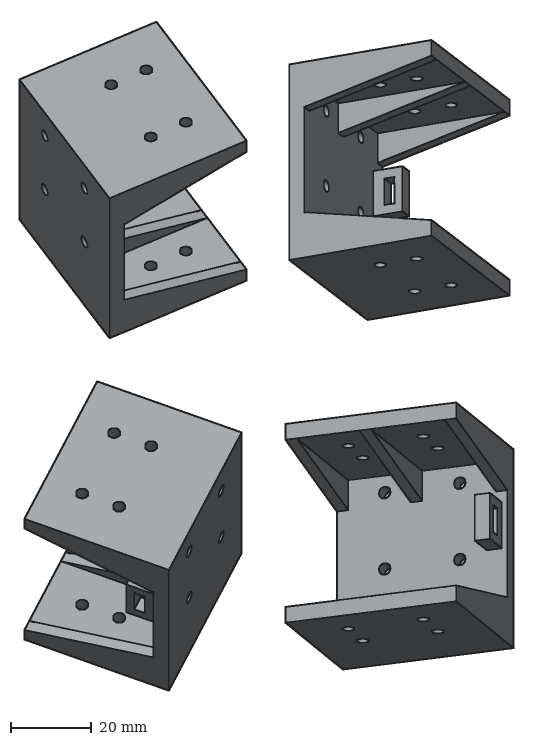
import cadquery as cq

width = 45.4
depth = 39.0
height = 52.0

wall = 4.15
rib_thickness = 3.0
rib_root_height = 12.0

hole_diameter = 3.0
hole_spacing = 10.0
wall_hole_low_z = 23.45
plate_hole_front_y = 18.95

loop_start_x = 1.5
loop_length = 4.0
loop_depth = 8.0
loop_height = 12.0
loop_bottom_z = 24.95
slot_depth = 2.8
slot_height = 7.0
slot_offset_y = 3.0

hole_xs = (width / 2 - hole_spacing, width / 2 + hole_spacing)


def box_at(x, y, z, size_x, size_y, size_z):
    """Box with its lowest corner at (x, y, z)."""
    return cq.Workplane("XY").box(size_x, size_y, size_z, centered=False).translate((x, y, z))


def channel():
    """Back wall with a plate along its top and bottom edges."""
    outer = box_at(0, 0, 0, width, depth, height)
    opening = box_at(0, wall, wall, width, depth - wall, height - 2 * wall)
    return outer.cut(opening)


def rib_pair(x):
    """Pair of tapered webs, tallest at the wall, under the top plate and on the bottom plate."""
    profile = [
        (0, 0),
        (depth, 0),
        (depth, wall),
        (wall, rib_root_height),
        (wall, height - rib_root_height),
        (depth, height - wall),
        (depth, height),
        (0, height),
    ]
    return cq.Workplane("YZ", origin=(x, 0, 0)).polyline(profile).close().extrude(rib_thickness)


def tie_loop():
    """Block on the wall with a rectangular slot running through it along X."""
    block = box_at(loop_start_x, wall, loop_bottom_z, loop_length, loop_depth, loop_height)
    slot_y = wall + slot_offset_y
    slot_z = loop_bottom_z + (loop_height - slot_height) / 2
    slot = box_at(loop_start_x, slot_y, slot_z, loop_length, slot_depth, slot_height)
    return block.cut(slot)


def wall_holes():
    """Square pattern of holes through the back wall."""
    points = [(x, z) for x in hole_xs for z in (wall_hole_low_z, wall_hole_low_z + 2 * hole_spacing)]
    return cq.Workplane("XZ").pushPoints(points).circle(hole_diameter / 2).extrude(-wall)


def plate_holes():
    """Pattern of holes in line through both plates."""
    points = [(x, y) for x in hole_xs for y in (plate_hole_front_y, plate_hole_front_y + hole_spacing)]
    return cq.Workplane("XY").pushPoints(points).circle(hole_diameter / 2).extrude(height)


result = channel()
for rib_x in (0, width / 2, width - rib_thickness):
    result = result.union(rib_pair(rib_x))
result = result.union(tie_loop()).cut(wall_holes()).cut(plate_holes())